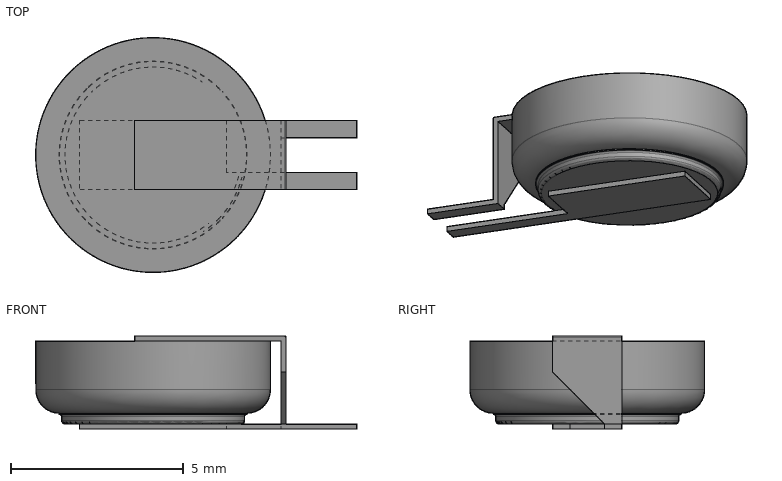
import cadquery as cq


sheet = 0.15
strip_width = 2.0
foot_width = 0.5
foot_end_x = 5.9

can_diameter = 6.8
lip_diameter = 5.44
cap_diameter = 5.3
overall_height = 2.7
can_top_z = overall_height - sheet
can_bottom_z = 0.46
can_edge_radius = 0.69
lip_bottom_z = 0.42
cap_root_radius = 0.05
cap_edge_radius = 0.1

top_strip_start_x = -0.53
leg_outer_x = 3.85
leg_taper_z = 1.65
bend_radius = 0.05

bottom_strip_start_x = -2.13
bottom_strip_end_x = -bottom_strip_start_x


def box(x_range, y_range, z_range):
    """Axis-aligned block between the given limits."""
    lengths = [high - low for low, high in (x_range, y_range, z_range)]
    corner = (x_range[0], y_range[0], z_range[0])
    return cq.Workplane("XY").box(*lengths, centered=False).translate(corner)


def disc(diameter, bottom_z, top_z):
    """Cylinder about the cell axis."""
    return cq.Workplane("XY").workplane(offset=bottom_z).circle(diameter / 2).extrude(top_z - bottom_z)


def make_cell():
    """Can with a rounded lower edge, a thin lip and the smaller cap."""
    can = disc(can_diameter, can_bottom_z, can_top_z).faces("<Z").edges().fillet(can_edge_radius)
    lip = disc(lip_diameter, lip_bottom_z, can_bottom_z)
    cap = disc(cap_diameter, sheet, lip_bottom_z)
    cap_root = cq.selectors.RadiusNthSelector(0)
    stepped_cap = lip.union(cap).faces("<Z[1]").edges(cap_root).fillet(cap_root_radius)
    stepped_cap = stepped_cap.faces("<Z").edges().fillet(cap_edge_radius)
    return can.union(stepped_cap)


def make_top_terminal():
    """Strip over the can, bent down into a leg that narrows to the +Y foot."""
    half_width = strip_width / 2
    leg_inner_x = leg_outer_x - sheet
    foot_inner_y = half_width - foot_width
    strip = box((top_strip_start_x, leg_outer_x), (-half_width, half_width), (can_top_z, overall_height))
    leg = (
        cq.Workplane("YZ", origin=(leg_inner_x, 0, 0))
        .moveTo(-half_width, can_top_z)
        .lineTo(-half_width, leg_taper_z)
        .lineTo(foot_inner_y, sheet)
        .lineTo(foot_inner_y, 0)
        .lineTo(half_width, 0)
        .lineTo(half_width, can_top_z)
        .close()
        .extrude(sheet)
    )
    foot = box((leg_inner_x, foot_end_x), (foot_inner_y, half_width), (0, sheet))
    bent_strip = strip.union(leg).edges("|Y and >Z and >X").fillet(bend_radius)
    return bent_strip.union(foot)


def make_bottom_terminal():
    """Flat strip under the cap that continues as the -Y foot."""
    half_width = strip_width / 2
    strip = box((bottom_strip_start_x, bottom_strip_end_x), (-half_width, half_width), (0, sheet))
    foot = box((bottom_strip_end_x, foot_end_x), (-half_width, foot_width - half_width), (0, sheet))
    return strip.union(foot)


result = make_cell().union(make_top_terminal()).union(make_bottom_terminal())